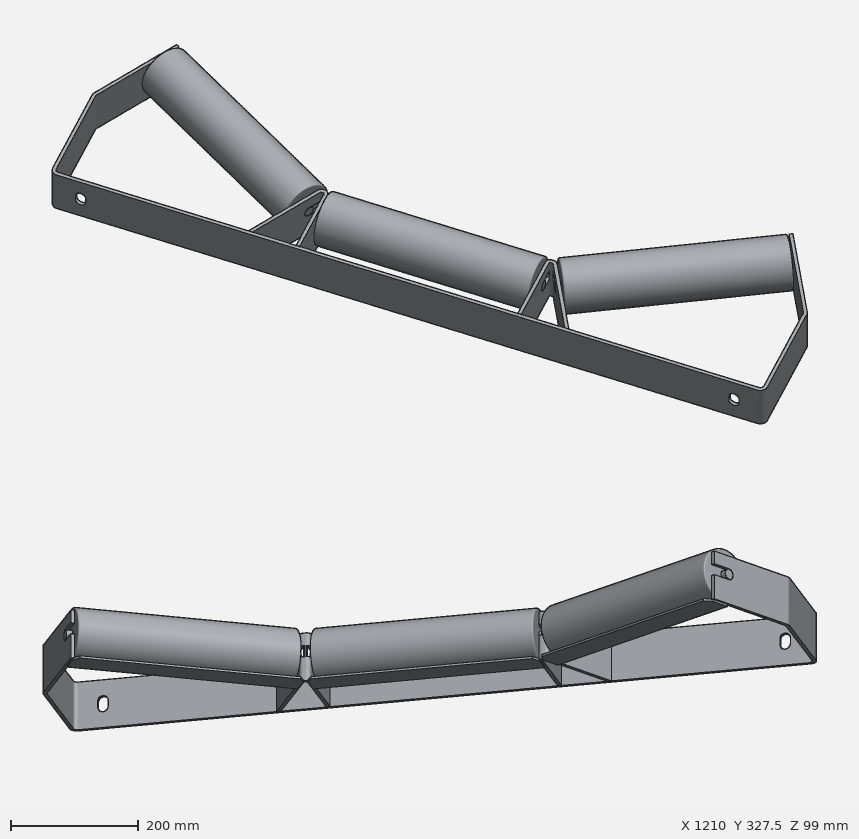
import cadquery as cq
import math


LENGTH = 1210.0
BAR_HEIGHT = 80.0
BAR = 6.0
BEND_RADIUS = 12.0
BRIDGE_BEND_RADIUS = 7.0
TILT = 30.0

SUPPORT_SPACING = 375.0
BRACKET_OVERHANG = 30.0
END_OVERHANG = 33.0
SLOT_WIDTH = 18.0

AXIS_Z = 50.0
CENTRE_AXIS_Y = 99.0
SIDE_START_X = 210.0
SIDE_START_Y = 105.0

ROLLER_DIAMETER = 90.0
ROLLER_LENGTH = 362.0
ROLLER_FILLET = 2.0
SHAFT_DIAMETER = 17.0

GUARD_THICKNESS = 4.0
GUARD_CUT_LENGTH = 8.0
GUARD_CUT_WIDTH = 12.0

MOUNT_SPACING = 1106.0
MOUNT_WIDTH = 17.0
MOUNT_HEIGHT = 27.0

COS = math.cos(math.radians(TILT))
SIN = math.sin(math.radians(TILT))
HALF_SPACING = SUPPORT_SPACING / 2
ROLLER_RADIUS = ROLLER_DIAMETER / 2
SHAFT_LENGTH = SUPPORT_SPACING + BAR

SIDE_X = SIDE_START_X + HALF_SPACING * COS
SIDE_Y = SIDE_START_Y + HALF_SPACING * SIN
ROLLER_PLACES = [(-SIDE_X, SIDE_Y, -TILT), (0, CENTRE_AXIS_Y, 0), (SIDE_X, SIDE_Y, TILT)]


def place(body, where):
    """Move a body built along X at the origin onto a roller axis."""
    x, y, angle = where
    return body.rotate((0, 0, 0), (0, 0, 1), angle).translate((x, y, 0))


def right_side_point(along, across):
    """XY point given along and across the right-hand roller, from its middle."""
    return (SIDE_X + along * COS - across * SIN, SIDE_Y + along * SIN + across * COS)


def cut_shaft_slots(body):
    """Open slots for the shafts of all three rollers, in the support bars only."""
    slot_length = 2 * END_OVERHANG
    for where in ROLLER_PLACES:
        for side in (-1, 1):
            start_x = side * HALF_SPACING - BAR / 2
            slot = (
                cq.Workplane("YZ", origin=(start_x, 0, AXIS_Z))
                .moveTo(slot_length, SLOT_WIDTH / 2)
                .lineTo(0, SLOT_WIDTH / 2)
                .threePointArc((-SLOT_WIDTH / 2, 0), (0, -SLOT_WIDTH / 2))
                .lineTo(slot_length, -SLOT_WIDTH / 2)
                .close()
                .extrude(BAR)
            )
            body = body.cut(place(slot, where))
    return body


def round_bend(body, outer_corner, inner_corner, outer_radius):
    """Round both upright edges of a bend about one centre, so the bar keeps its thickness."""
    for (x, y), radius in ((outer_corner, outer_radius), (inner_corner, outer_radius - BAR)):
        body = body.edges(cq.NearestToPointSelector((x, y, BAR_HEIGHT / 2))).fillet(radius)
    return body


def make_frame():
    """Base bar with upright ends that lean inwards to carry the side rollers."""
    half = LENGTH / 2
    outer = HALF_SPACING + BAR / 2
    tip_x, tip_y = right_side_point(outer, END_OVERHANG)
    inner_tip = right_side_point(outer - BAR, END_OVERHANG)
    bend_y = tip_y - (half - tip_x) * COS / SIN
    inner_bend_y = bend_y - BAR * math.tan(math.radians(TILT / 2))
    right = [
        (half, 0),
        (half, bend_y),
        (tip_x, tip_y),
        inner_tip,
        (half - BAR, inner_bend_y),
        (half - BAR, BAR),
    ]
    left = [(-x, y) for x, y in reversed(right)]
    frame = cq.Workplane("XY").polyline(right + left).close().extrude(BAR_HEIGHT)

    bends = [((half, 0), (half - BAR, BAR)), ((half, bend_y), (half - BAR, inner_bend_y))]
    for side in (-1, 1):
        for (outer_x, outer_y), (inner_x, inner_y) in bends:
            frame = round_bend(frame, (side * outer_x, outer_y), (side * inner_x, inner_y), BEND_RADIUS)

    mounts = (
        cq.Workplane("XZ")
        .center(0, BAR_HEIGHT / 2)
        .rarray(MOUNT_SPACING, 12, 2, 1)
        .slot2D(MOUNT_HEIGHT, MOUNT_WIDTH, 90)
        .extrude(-BAR)
    )
    return cut_shaft_slots(frame.cut(mounts))


def make_bracket(side):
    """Inner support: an upright leg and a leaning leg joined by a bridge."""
    top = CENTRE_AXIS_Y + BRACKET_OVERHANG
    leg_inner = HALF_SPACING - BAR / 2
    leg_outer = leg_inner + BAR

    def leaning_x(offset, y):
        """X of the leaning leg at height y, offset from its mid-plane towards the roller."""
        x0, y0 = right_side_point(offset - HALF_SPACING, 0)
        return x0 - (y - y0) * SIN / COS

    def corner(x, y):
        return (side * x, y)

    upright_outer = corner(leg_inner, top)
    upright_inner = corner(leg_outer, top - BAR)
    leaning_outer = corner(leaning_x(BAR / 2, top), top)
    leaning_inner = corner(leaning_x(-BAR / 2, top - BAR), top - BAR)
    outline = [
        corner(leg_inner, BAR),
        upright_outer,
        leaning_outer,
        corner(leaning_x(BAR / 2, BAR), BAR),
        corner(leaning_x(-BAR / 2, BAR), BAR),
        leaning_inner,
        upright_inner,
        corner(leg_outer, BAR),
    ]
    bracket = cq.Workplane("XY").polyline(outline).close().extrude(BAR_HEIGHT)
    bracket = round_bend(bracket, upright_outer, upright_inner, BRIDGE_BEND_RADIUS)
    bracket = round_bend(bracket, leaning_outer, leaning_inner, BRIDGE_BEND_RADIUS)
    return cut_shaft_slots(bracket)


def make_roller(where):
    """Roller with its shaft, which ends flush with the outside of the supports."""
    shell = (
        cq.Workplane("YZ")
        .circle(ROLLER_RADIUS)
        .extrude(ROLLER_LENGTH)
        .translate((-ROLLER_LENGTH / 2, 0, 0))
        .faces("<X or >X")
        .edges()
        .fillet(ROLLER_FILLET)
    )
    shaft = (
        cq.Workplane("YZ")
        .circle(SHAFT_DIAMETER / 2)
        .extrude(SHAFT_LENGTH)
        .translate((-SHAFT_LENGTH / 2, 0, 0))
    )
    return place(shell.union(shaft).translate((0, 0, AXIS_Z)), where)


def make_guard(where):
    """Thin sheet below the supports, from the roller axis to the roller's +Y side."""
    cut_start = HALF_SPACING - GUARD_CUT_LENGTH
    cut_end = ROLLER_RADIUS - GUARD_CUT_WIDTH
    right = [(HALF_SPACING, 0), (HALF_SPACING, cut_end), (cut_start, ROLLER_RADIUS)]
    left = [(-x, y) for x, y in reversed(right)]
    sheet = cq.Workplane("XY").polyline(right + left).close().extrude(-GUARD_THICKNESS)
    return place(sheet, where)


frame = make_frame()
brackets = [make_bracket(side) for side in (-1, 1)]
rollers = [make_roller(where) for where in ROLLER_PLACES]
guards = [make_guard(where) for where in ROLLER_PLACES]

result = cq.Compound.makeCompound([body.val() for body in [frame, *brackets, *rollers, *guards]])